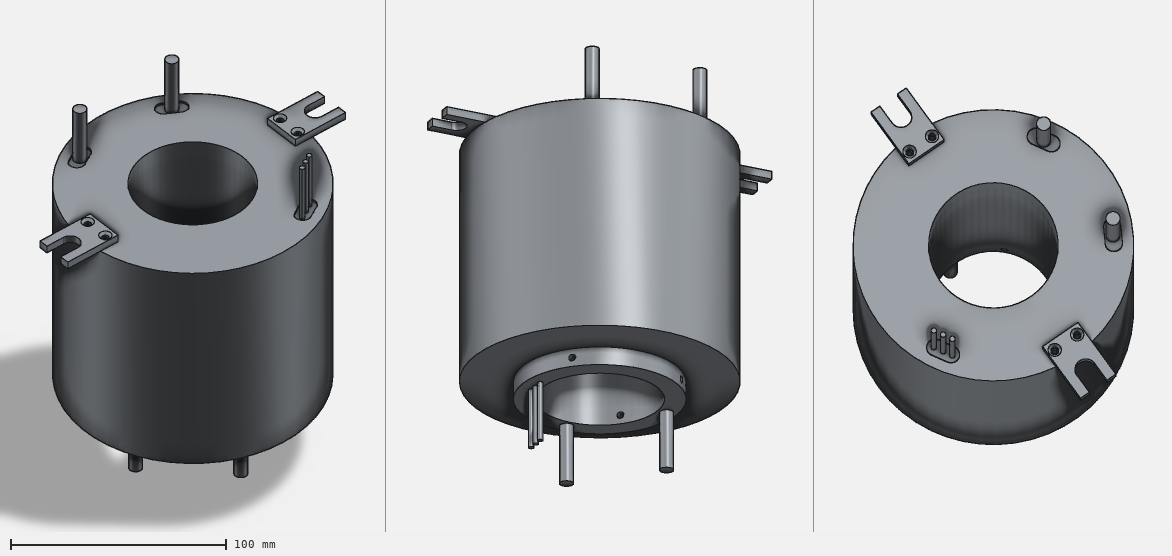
import cadquery as cq
import math


total_height = 181.8
cable_length = 29.0
flange_height = 8.9
flange_bottom = cable_length
body_bottom = flange_bottom + flange_height
body_top = total_height - cable_length

body_radius = 130.0 / 2
bore_radius = 30.0
flange_radius = 40.0

set_screw_diameter = 3.3
set_screw_angles = (45, 135, 225, 315)

bracket_reach = 168.0 / 2
bracket_length = 30.4
bracket_width = 20.0
bracket_thickness = 4.0
fork_slot_width = 10.0
fork_slot_depth = 14.9

screw_spacing = 12.7
screw_edge_distance = 4.5
screw_row = bracket_reach - bracket_length + screw_edge_distance
screw_points = [(side * screw_spacing / 2, screw_row) for side in (-1, 1)]
countersink_diameter = 6.2
clearance_diameter = 3.5
countersink_angle = 90.0
tapped_diameter = 2.2
tapped_depth = 7.3

outlet_radius = 55.6
outlet_length = 16.0
outlet_width = 8.0
outlet_depth = 1.0
wire_outlet_angle = 30
cable_outlet_angles = (150, 210)

cable_diameter = 6.5
wire_diameter = 2.5
wire_spacing = 4.7
rotor_cable_radius = 34.5
rotor_cable_angles = (0, 270)
rotor_wire_radius = 33.0
rotor_wire_angle = 90
root_depth = 1.8

wire_row = [(0, offset * wire_spacing) for offset in (-1, 0, 1)]


def polar_plane(radius, angle, height):
    """Plane at a polar position, local x pointing away from the axis."""
    turn = math.radians(angle)
    outward = (math.cos(turn), math.sin(turn), 0)
    origin = (radius * outward[0], radius * outward[1], height)
    return cq.Plane(origin=origin, xDir=outward, normal=(0, 0, 1))


def rods(plane, points, diameter, length):
    """Parallel round rods rising from the points on the plane."""
    return cq.Workplane(plane).pushPoints(points).circle(diameter / 2).extrude(length)


def make_housing():
    body = cq.Workplane("XY").workplane(offset=body_bottom).circle(body_radius)
    body = body.extrude(body_top - body_bottom)
    flange = cq.Workplane("XY").workplane(offset=flange_bottom).circle(flange_radius)
    body = body.union(flange.extrude(flange_height))
    return body.cut(cq.Workplane("XY").circle(bore_radius).extrude(total_height))


def make_set_screw_hole(angle):
    hole = cq.Workplane("YZ").center(0, flange_bottom + flange_height / 2)
    hole = hole.circle(set_screw_diameter / 2).extrude(flange_radius)
    return hole.rotate((0, 0, 0), (0, 0, 1), angle)


def make_outlet(angle):
    plane = polar_plane(outlet_radius, angle, body_top)
    return cq.Workplane(plane).slot2D(outlet_length, outlet_width, 90).extrude(-outlet_depth)


def make_bracket():
    """Bracket on the +Y side, fork open outwards."""
    plate = cq.Workplane("XY").workplane(offset=body_top)
    plate = plate.center(0, bracket_reach - bracket_length / 2)
    plate = plate.rect(bracket_width, bracket_length).extrude(bracket_thickness)

    fork = cq.Workplane("XY").workplane(offset=body_top).center(0, bracket_reach)
    fork = fork.slot2D(2 * fork_slot_depth, fork_slot_width, 90).extrude(bracket_thickness)
    plate = plate.cut(fork)

    plate = plate.faces(">Z").workplane(origin=(0, 0, 0)).pushPoints(screw_points)
    return plate.cskHole(clearance_diameter, countersink_diameter, countersink_angle)


def make_tapped_holes():
    """Blind screw holes in the housing below the +Y bracket."""
    holes = cq.Workplane("XY").workplane(offset=body_top)
    return holes.pushPoints(screw_points).circle(tapped_diameter / 2).extrude(-tapped_depth)


result = make_housing()

for angle in set_screw_angles:
    result = result.cut(make_set_screw_hole(angle))

for angle in (wire_outlet_angle, *cable_outlet_angles):
    result = result.cut(make_outlet(angle))

for turn in (0, 180):
    result = result.cut(make_tapped_holes().rotate((0, 0, 0), (0, 0, 1), turn))
    result = result.union(make_bracket().rotate((0, 0, 0), (0, 0, 1), turn))

upper_root = body_top - outlet_depth - root_depth
upper_length = total_height - upper_root
for angle in cable_outlet_angles:
    plane = polar_plane(outlet_radius, angle, upper_root)
    result = result.union(rods(plane, [(0, 0)], cable_diameter, upper_length))
wire_plane = polar_plane(outlet_radius, wire_outlet_angle, upper_root)
result = result.union(rods(wire_plane, wire_row, wire_diameter, upper_length))

lower_length = cable_length + root_depth
for angle in rotor_cable_angles:
    plane = polar_plane(rotor_cable_radius, angle, 0)
    result = result.union(rods(plane, [(0, 0)], cable_diameter, lower_length))
wire_plane = polar_plane(rotor_wire_radius, rotor_wire_angle, 0)
result = result.union(rods(wire_plane, wire_row, wire_diameter, lower_length))